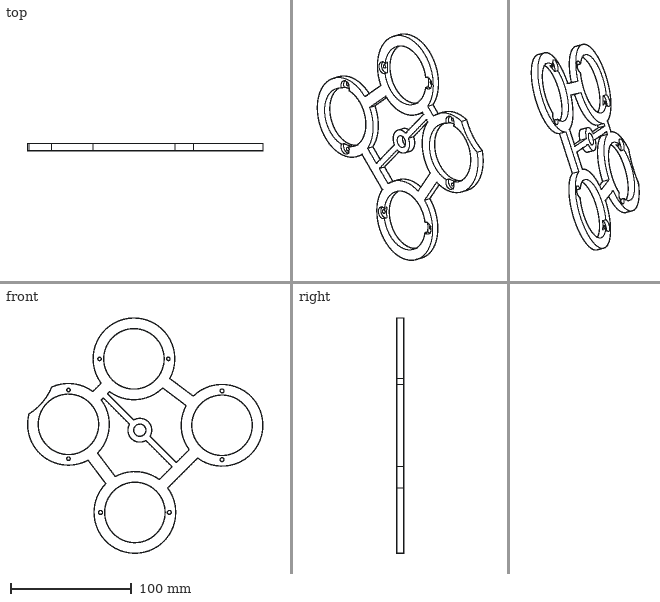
import cadquery as cq
import math

OVERALL_SIZE = 195
THICKNESS = 6.0

NEAR_REACH = 59.1
NEAR_SHIFT = 4.9
FAR_REACH = 68.0
FAR_SHIFT = 4.0
RING_DIAMETER = OVERALL_SIZE - NEAR_REACH - FAR_REACH
BORE_DIAMETER = 50.0

SCREW_RADIUS = 28.5
NEAR_SCREW_DIAMETER = 2.7
FAR_SCREW_DIAMETER = 3.1
RECESS_RADIUS = 27.0
RECESS_DIAMETER = 10.0
RECESS_DEPTH = 3.0

BAR_WIDTH = 10.0
SPOKE_WIDTH = 5.0
HUB_DIAMETER = 19.9
HUB_BORE_DIAMETER = 10.0

CLEARANCE_CENTRE = (-116.9, 53.8)
CLEARANCE_RADIUS = 47.5

LEFT = (-NEAR_REACH, NEAR_SHIFT)
TOP = (-NEAR_SHIFT, NEAR_REACH)
RIGHT = (FAR_REACH, FAR_SHIFT)
BOTTOM = (-FAR_SHIFT, -FAR_REACH)
RING_CENTRES = [LEFT, TOP, RIGHT, BOTTOM]


def midpoint(start, end):
    return ((start[0] + end[0]) / 2, (start[1] + end[1]) / 2)


def discs(points, diameter, depth=THICKNESS):
    """Cylinders reaching forward (-Y) from the back face."""
    back_plane = cq.Workplane("XZ", origin=(0, THICKNESS / 2, 0))
    return back_plane.pushPoints(points).circle(diameter / 2).extrude(depth)


def strip(start, end, width):
    """Full-thickness straight strip whose centre line joins two (x, z) points."""
    run = end[0] - start[0]
    rise = end[1] - start[1]
    middle = midpoint(start, end)
    return (
        cq.Workplane("XY")
        .box(math.hypot(run, rise), THICKNESS, width)
        .rotate((0, 0, 0), (0, 1, 0), -math.degrees(math.atan2(rise, run)))
        .translate((middle[0], 0, middle[1]))
    )


def opposite_points(centre, radius, along_x):
    """Two points on opposite sides of a ring centre, along X or along Z."""
    x, z = centre
    if along_x:
        return [(x - radius, z), (x + radius, z)]
    return [(x, z - radius), (x, z + radius)]


near_screws = opposite_points(LEFT, SCREW_RADIUS, False) + opposite_points(TOP, SCREW_RADIUS, True)
far_screws = opposite_points(RIGHT, SCREW_RADIUS, False) + opposite_points(BOTTOM, SCREW_RADIUS, True)
recesses = []
for centre, along_x in [(LEFT, False), (TOP, True), (RIGHT, False), (BOTTOM, True)]:
    recesses += opposite_points(centre, RECESS_RADIUS, along_x)

frame = discs(RING_CENTRES, RING_DIAMETER).union(discs([(0, 0)], HUB_DIAMETER))
for start, end in [(LEFT, TOP), (TOP, RIGHT), (RIGHT, BOTTOM), (BOTTOM, LEFT)]:
    frame = frame.union(strip(start, end, BAR_WIDTH))
frame = frame.union(strip(midpoint(LEFT, TOP), midpoint(RIGHT, BOTTOM), SPOKE_WIDTH))

frame = frame.cut(discs(RING_CENTRES, BORE_DIAMETER))
frame = frame.cut(discs([(0, 0)], HUB_BORE_DIAMETER))
frame = frame.cut(discs(near_screws, NEAR_SCREW_DIAMETER))
frame = frame.cut(discs(far_screws, FAR_SCREW_DIAMETER))
frame = frame.cut(discs(recesses, RECESS_DIAMETER, RECESS_DEPTH))
frame = frame.cut(discs([CLEARANCE_CENTRE], 2 * CLEARANCE_RADIUS))

result = frame.val()